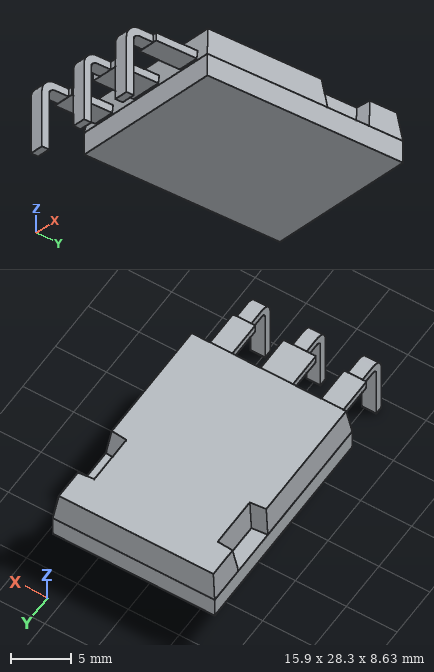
import cadquery as cq
import math

body_width = 15.93
overall_length = 28.3
body_length = 21.08
body_height = 4.95
base_height = 2.12
body_back = overall_length / 2
body_front = body_back - body_length

draft_inset = 0.37
cover_height = body_height - base_height
draft_angle = math.degrees(math.atan2(draft_inset, cover_height))
notch_center_y = body_back - 5.9
notch_depth = 1.9
notch_inner_length = 4.9
notch_flare_angle = 5.0
notch_overshoot = 1.42

lead_top = 3.15
lead_thickness = 0.8
lead_drop = 3.68
lead_pitch = 5.45
bend_radius = 1.4
lead_tip_y = -overall_length / 2
shoulder_end_y = body_front - 4.33
side_shoulder_width = 2.2
middle_shoulder_width = 3.2
side_pin_width = 1.45
middle_pin_width = 1.4


def make_base():
    """Straight-sided lower half of the package."""
    return (
        cq.Workplane("XY")
        .center(0, (body_back + body_front) / 2)
        .rect(body_width, body_length)
        .extrude(base_height)
    )


def make_notch(side):
    """Cutter for a side notch, narrowing downward from the top; side is +1 for right or -1 for left."""
    inner_x = side * (body_width / 2 - notch_depth)
    outer_x = side * (body_width / 2 + notch_overshoot)
    half_inner = notch_inner_length / 2
    flare = (notch_depth + notch_overshoot) * math.tan(math.radians(notch_flare_angle))
    half_outer = half_inner + flare
    return (
        cq.Workplane("XY", origin=(0, notch_center_y, body_height))
        .moveTo(inner_x, -half_inner)
        .lineTo(outer_x, -half_outer)
        .lineTo(outer_x, half_outer)
        .lineTo(inner_x, half_inner)
        .close()
        .extrude(-cover_height, taper=draft_angle)
    )


def make_cover():
    """Upper half, whose walls and notch walls all lean inward."""
    cover = (
        cq.Workplane("XY", origin=(0, (body_back + body_front) / 2, base_height))
        .rect(body_width, body_length)
        .extrude(cover_height, taper=draft_angle)
    )
    for side in (-1, 1):
        cover = cover.cut(make_notch(side))
    return cover


def make_shoulder(center_x, width, cover):
    """Wide flat part of a lead, ending flush against the sloped cover wall."""
    inner_end_y = body_front + draft_inset
    length = inner_end_y - shoulder_end_y
    bar = cq.Workplane("XY").box(width, length, lead_thickness).translate(
        (center_x, (inner_end_y + shoulder_end_y) / 2, lead_top - lead_thickness / 2)
    )
    return bar.cut(cover)


def make_pin(center_x, width):
    """Narrow part of a lead, bent down through a right angle."""
    inner_radius = bend_radius - lead_thickness
    bend_y = lead_tip_y + bend_radius
    bend_z = lead_top - bend_radius
    diagonal = math.sqrt(0.5)
    inner_y = lead_tip_y + lead_thickness
    return (
        cq.Workplane("YZ", origin=(center_x, 0, 0))
        .moveTo(shoulder_end_y, lead_top)
        .lineTo(bend_y, lead_top)
        .threePointArc(
            (bend_y - bend_radius * diagonal, bend_z + bend_radius * diagonal),
            (lead_tip_y, bend_z),
        )
        .lineTo(lead_tip_y, -lead_drop)
        .lineTo(inner_y, -lead_drop)
        .lineTo(inner_y, bend_z)
        .threePointArc(
            (bend_y - inner_radius * diagonal, bend_z + inner_radius * diagonal),
            (bend_y, lead_top - lead_thickness),
        )
        .lineTo(shoulder_end_y, lead_top - lead_thickness)
        .close()
        .extrude(width / 2, both=True)
    )


base = make_base()
cover = make_cover()

shoulders = []
pins = []
for center_x, shoulder_width, pin_width in [
    (-lead_pitch, side_shoulder_width, side_pin_width),
    (0, middle_shoulder_width, middle_pin_width),
    (lead_pitch, side_shoulder_width, side_pin_width),
]:
    shoulders.append(make_shoulder(center_x, shoulder_width, cover).solids().val())
    pins.append(make_pin(center_x, pin_width).solids().val())

result = cq.Compound.makeCompound([base.val(), cover.val(), *shoulders, *pins])